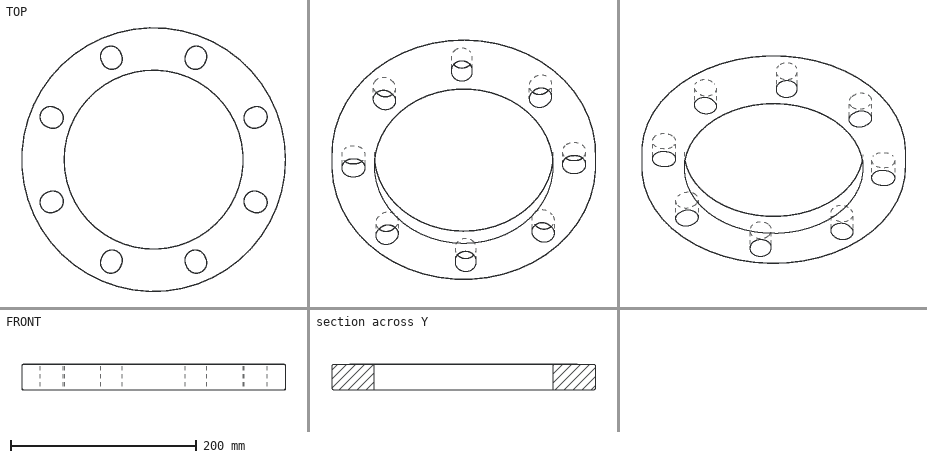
import cadquery as cq

outer_diameter = 285.0
bore_diameter = 193.0
thickness = 28.0
edge_radius = 2.0

slot_count = 8
slot_width = 22.2
slot_stretch = 2.8
slot_length = slot_width + slot_stretch
slot_circle_radius = 119.0
first_slot_angle = 180 / slot_count


def rounded_ring():
    """Flat ring rounded on both rims and on the top of the bore; the bore stays sharp below."""
    disc = cq.Workplane("XY").circle(outer_diameter / 2).extrude(thickness)
    disc = disc.edges("%CIRCLE").fillet(edge_radius)
    ring = disc.faces(">Z").workplane().hole(bore_diameter)
    top_bore_edge = cq.selectors.RadiusNthSelector(0)
    return ring.faces(">Z").edges(top_bore_edge).fillet(edge_radius)


def bolt_slots():
    """Through cutters, each with its long axis pointing at the ring centre."""
    return (
        cq.Workplane("XY")
        .polarArray(slot_circle_radius, first_slot_angle, 360, slot_count)
        .slot2D(slot_length, slot_width)
        .extrude(thickness)
    )


result = rounded_ring().cut(bolt_slots())